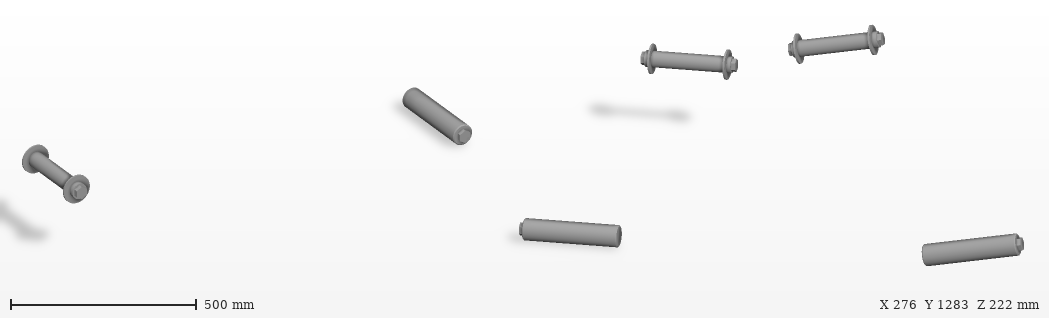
import cadquery as cq
import math

total_length = 276.0
hex_length = 12.0
hex_across_flats = 32.0
hex_across_corners = hex_across_flats / math.cos(math.pi / 6)

roller_diameter = 60.0
roller_length = total_length - hex_length
roller_chamfer = 3.0

shaft_diameter = 45.0
shaft_start = 2 * hex_length
shaft_end = roller_length

flange_diameter = 82.0
flange_thickness = 5.0
flange_starts = [35.0, 245.0]

overall_depth = 1283.0
overall_height = 222.0
end_radii = (flange_diameter + roller_diameter) / 2
roller_y = overall_depth - end_radii
roller_z = -(overall_height - end_radii)


def cross_plane(x, y=0, z=0):
    """Plane normal to X, with its local x along Y."""
    return cq.Workplane(cq.Plane(origin=(x, y, z), xDir=(0, 1, 0), normal=(1, 0, 0)))


def rod(x, length, diameter, y=0, z=0):
    return cross_plane(x, y, z).circle(diameter / 2).extrude(length)


def hex_end(x, y=0, z=0):
    """Hexagonal end with two corners pointing along Z."""
    return (
        cross_plane(x, y, z)
        .transformed(rotate=(0, 0, 90))
        .polygon(6, hex_across_corners)
        .extrude(hex_length)
    )


def make_roller():
    barrel = rod(0, roller_length, roller_diameter, roller_y, roller_z)
    barrel = barrel.faces("<X or >X").chamfer(roller_chamfer)
    return barrel.union(hex_end(roller_length, roller_y, roller_z))


def make_shaft():
    barrel = rod(shaft_start, shaft_end - shaft_start, shaft_diameter)
    left_end = hex_end(shaft_start - hex_length)
    right_end = hex_end(shaft_end)
    return barrel.union(left_end).union(right_end)


def make_flange(x):
    """Thin disc bored to fit around the shaft."""
    disc = rod(x, flange_thickness, flange_diameter)
    return disc.cut(rod(x, flange_thickness, shaft_diameter))


roller = make_roller()
shaft = make_shaft()
flanges = [make_flange(x) for x in flange_starts]

result = cq.Compound.makeCompound([roller.val(), shaft.val(), *[flange.val() for flange in flanges]])